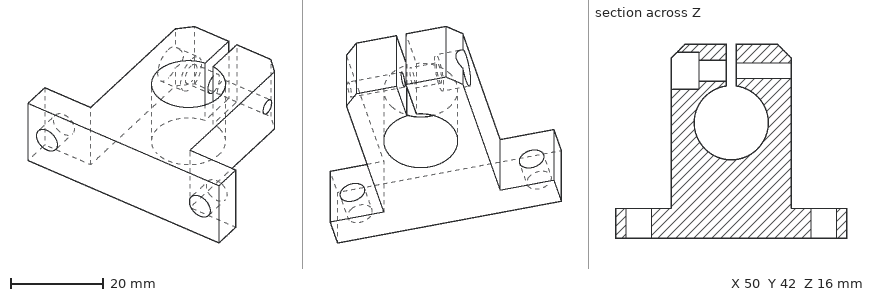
import cadquery as cq

base_length = 50.0
base_depth = 6.5
thickness = 16.0
mount_hole_diameter = 5.5
mount_hole_spacing = 40.0

total_depth = 42.0
upright_width = 26.0
corner_chamfer = 3.0
bore_diameter = 16.0
bore_height = 25.0
slit_width = 2.1

screw_height = 36.25
screw_clearance_diameter = 4.5
screw_thread_diameter = 3.3
screw_head_diameter = 8.0
screw_head_depth = 6.0


def box(width, y_start, y_end):
    """Full-thickness block centred on X, between two Y positions."""
    depth = y_end - y_start
    return cq.Workplane("XY").box(width, depth, thickness).translate((0, y_start + depth / 2, 0))


def screw_hole(diameter, x_start, x_end):
    """Cylinder on the clamp screw axis, between two X positions."""
    return (
        cq.Workplane("YZ", origin=(x_start, screw_height, 0))
        .circle(diameter / 2)
        .extrude(x_end - x_start)
    )


base = box(base_length, 0, base_depth)
upright = box(upright_width, 0, total_depth).edges("|Z and >Y").chamfer(corner_chamfer)
body = base.union(upright)

bore = (
    cq.Workplane("XY", origin=(0, bore_height, -thickness / 2))
    .circle(bore_diameter / 2)
    .extrude(thickness)
)
slit = box(slit_width, bore_height, total_depth)
body = body.cut(bore).cut(slit)

mount_holes = (
    cq.Workplane("XZ")
    .pushPoints([(-mount_hole_spacing / 2, 0), (mount_hole_spacing / 2, 0)])
    .circle(mount_hole_diameter / 2)
    .extrude(-base_depth)
)
body = body.cut(mount_holes)

side = upright_width / 2
head_recess = screw_hole(screw_head_diameter, -side, -side + screw_head_depth)
clearance = screw_hole(screw_clearance_diameter, -side, 0)
thread_core = screw_hole(screw_thread_diameter, 0, side)
result = body.cut(head_recess).cut(clearance).cut(thread_core)